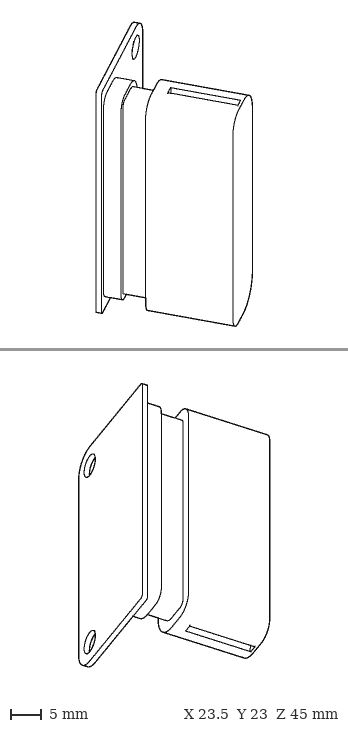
import cadquery as cq

length_x = 23.5
plate_width = 23.0
height = 45.0

plate_end = 1.0
collar_end = 4.0
tongue_end = 8.5

ear_radius = 4.0
plate_corner_radius = 0.5
hole_diameter = 4.0

block_width = 11.0
block_height = 43.0
block_back_radius = 5.0
block_front_radius = 3.0
collar_inset = 1.0
tongue_inset = 2.0

bore_diameter = 2.0
bore_y = 5.18
bore_axis_depth = 0.68
bore_length = 12.0
bore_end_wall = 0.5


def profile_bar(start_x, end_x, inset):
    """Bar along X whose section is the block profile shrunk evenly by inset."""
    bar = cq.Workplane("XY").box(
        end_x - start_x,
        block_width - 2 * inset,
        block_height - 2 * inset,
        centered=(False, False, True),
    )
    bar = bar.edges("|X and >Y").fillet(block_back_radius - inset)
    bar = bar.edges("|X and <Y").fillet(block_front_radius - inset)
    return bar.translate((start_x, inset, 0))


def make_plate():
    """Plate with two rounded ears on +Y and a hole concentric with each ear."""
    plate = cq.Workplane("XY").box(plate_end, plate_width, height, centered=(False, False, True))
    plate = plate.edges("|X and >Y").fillet(ear_radius)
    plate = plate.edges("|X and <Y").fillet(plate_corner_radius)
    hole_y = plate_width - ear_radius
    hole_z = height / 2 - ear_radius
    holes = (
        cq.Workplane("YZ")
        .pushPoints([(hole_y, hole_z), (hole_y, -hole_z)])
        .circle(hole_diameter / 2)
        .extrude(plate_end)
    )
    return plate.cut(holes)


def make_mount():
    """Mounting plate with the stepped collar and tongue."""
    collar = profile_bar(plate_end, collar_end, collar_inset)
    tongue = profile_bar(collar_end, tongue_end, tongue_inset)
    return make_plate().union(collar).union(tongue)


def make_block():
    """Block that meets the end of the tongue, with a bore at each end in Z."""
    block = profile_bar(tongue_end, length_x, 0)
    bore_z = block_height / 2 - bore_axis_depth
    bore_start = length_x - bore_end_wall - bore_length
    bores = (
        cq.Workplane("YZ", origin=(bore_start, 0, 0))
        .pushPoints([(bore_y, bore_z), (bore_y, -bore_z)])
        .circle(bore_diameter / 2)
        .extrude(bore_length)
    )
    return block.cut(bores)


mount = make_mount()
block = make_block()

result = cq.Compound.makeCompound([mount.val(), block.val()])